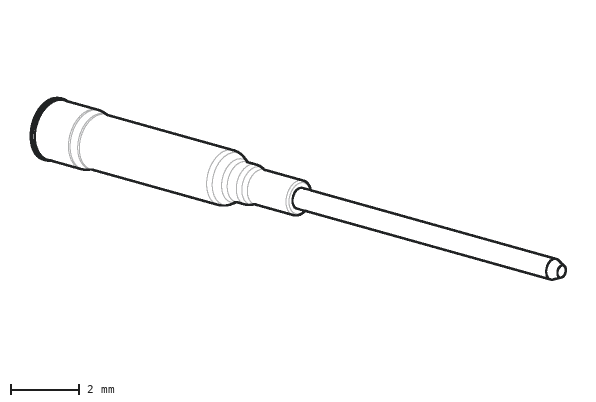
import cadquery as cq
import math

rim_radius = 1.87 / 2
head_radius = 1.8 / 2
body_radius = 1.66 / 2
collar_radius = 1.22 / 2
sleeve_radius = 1.05 / 2
pin_radius = 0.63 / 2
tip_radius = 0.37 / 2

rim_end = 0.08
head_start = 0.15
head_end = 1.48
body_end = 6.92
collar_end = 7.9
step_length = 0.37
sleeve_end = 9.86
pin_end = 20.3

sleeve_fillet = 0.06
tip_length = 0.32

taper_angle = math.radians(13)
taper_blend = 0.26

shoulder_angle = math.radians(28)
shoulder_blend = 0.39

step_drop = collar_radius - sleeve_radius
step_angle = 2 * math.atan(step_drop / step_length)
step_blend = step_length / 2 / math.sin(step_angle)


def arc_offset(radius, angle):
    """Axial and radial travel along an arc that starts parallel to the axis."""
    return radius * math.sin(angle), radius * (1 - math.cos(angle))


def blended_drop(profile, start, upper, lower, angle, blend):
    """Add a convex arc, a cone if any drop remains, and a concave arc."""
    arc_length, arc_drop = arc_offset(blend, angle)
    mid_length, mid_drop = arc_offset(blend, angle / 2)
    cone_drop = upper - lower - 2 * arc_drop
    end = start + 2 * arc_length + cone_drop / math.tan(angle)
    cone_end = (end - arc_length, lower + arc_drop)
    profile = profile.threePointArc(
        (start + mid_length, upper - mid_drop),
        (start + arc_length, upper - arc_drop),
    )
    shortest_cone = 2.03e-07
    if cone_drop > shortest_cone:
        profile = profile.lineTo(*cone_end)
    profile = profile.threePointArc((end - mid_length, lower + mid_drop), (end, lower))
    return profile


profile = (
    cq.Workplane("XY")
    .moveTo(0, 0)
    .lineTo(0, rim_radius)
    .lineTo(rim_end, rim_radius)
    .lineTo(head_start, head_radius)
    .lineTo(head_end, head_radius)
)
profile = blended_drop(
    profile, head_end, head_radius, body_radius, taper_angle, taper_blend
)
profile = profile.lineTo(body_end, body_radius)

profile = blended_drop(
    profile, body_end, body_radius, collar_radius, shoulder_angle, shoulder_blend
)
profile = profile.lineTo(collar_end, collar_radius)
profile = blended_drop(
    profile, collar_end, collar_radius, sleeve_radius, step_angle, step_blend
)

profile = (
    profile.lineTo(sleeve_end - sleeve_fillet, sleeve_radius)
    .radiusArc((sleeve_end, sleeve_radius - sleeve_fillet), sleeve_fillet)
    .lineTo(sleeve_end, pin_radius)
    .lineTo(pin_end - tip_length, pin_radius)
    .lineTo(pin_end, tip_radius)
    .lineTo(pin_end, 0)
    .close()
)

result = profile.revolve(360, (0, 0, 0), (1, 0, 0))